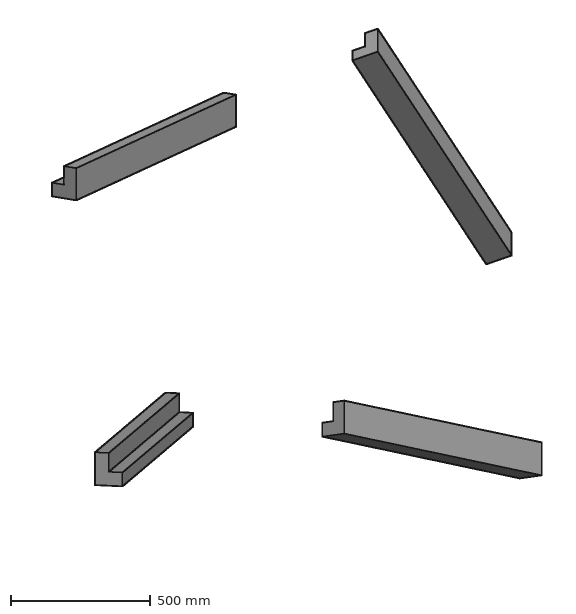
import cadquery as cq

width = 102.0
length = 1118.0
height = 121.0

leg_thickness = 51.0

floor_leg = cq.Workplane("XY").box(width, length, leg_thickness, centered=False)
upright_leg = (
    cq.Workplane("XY")
    .box(leg_thickness, length, height, centered=False)
    .translate((width - leg_thickness, 0, 0))
)

result = floor_leg.union(upright_leg)